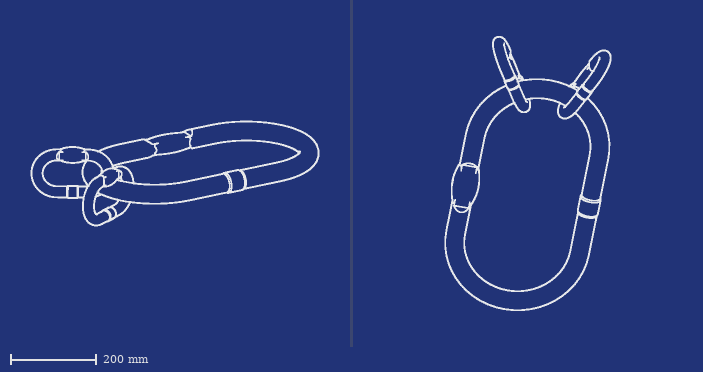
import cadquery as cq
import math


total_length = 685.0

master_wire = 45.0
master_collar = 48.5
master_inner_width = 250.0
master_inner_length = 500.0

small_wire = 27.0
small_collar = 29.0
small_inner_width = 66.0
small_inner_length = 140.5
small_outer_radius = small_wire / 2
small_half_pitch = (small_inner_length + small_wire) / 2

left_turn = -32.0
left_centre = (-92.5, -294.5)
right_turn = 25.2
right_centre_x = 80.0
master_top = master_inner_length / 2 + master_wire
right_reach = small_half_pitch * math.cos(math.radians(right_turn)) + small_outer_radius
right_centre = (right_centre_x, master_top - total_length + right_reach)

FLAT_THICKNESS = 0.63
FLAT_HALF_LENGTH = 1.17
RAMP_LENGTH = 0.23
BULGE_HEIGHT = 0.19
BULGE_HALF_LENGTH = 1.0
BULGE_FILLET = 0.16
COLLAR_CORE_LENGTH = 0.8
COLLAR_LENGTH = 1.0


def wire_loop(wire, width, straight):
    """Round wire bent to two straight legs and two half-circle ends; width is between leg centres."""
    half_width = width / 2
    half_straight = straight / 2
    path = (
        cq.Workplane("XY")
        .moveTo(half_width, -half_straight)
        .lineTo(half_width, half_straight)
        .threePointArc((0, half_straight + half_width), (-half_width, half_straight))
        .lineTo(-half_width, -half_straight)
        .threePointArc((0, -half_straight - half_width), (half_width, -half_straight))
        .close()
    )
    start = cq.Workplane("XZ", origin=(half_width, -half_straight, 0))
    return start.circle(wire / 2).sweep(path)


def weld_collar(wire, collar):
    """Raised sleeve around a leg on the Y axis, with a short cone down to the wire at each end."""
    half_core = COLLAR_CORE_LENGTH * wire / 2
    half_length = COLLAR_LENGTH * wire / 2
    return (
        cq.Workplane("XY")
        .moveTo(0, -half_length)
        .lineTo(wire / 2, -half_length)
        .lineTo(collar / 2, -half_core)
        .lineTo(collar / 2, half_core)
        .lineTo(wire / 2, half_length)
        .lineTo(0, half_length)
        .close()
        .revolve(360, (0, 0, 0), (0, 1, 0))
    )


def flat_cutter(wire):
    """Two trapezoid blocks that flatten a leg on the Y axis above and below, with ramped ends."""
    flat_z = FLAT_THICKNESS * wire / 2
    flat_y = FLAT_HALF_LENGTH * wire
    crown_z = wire / 2
    crown_y = flat_y + RAMP_LENGTH * wire
    upper = (
        cq.Workplane("YZ")
        .moveTo(-flat_y, flat_z)
        .lineTo(flat_y, flat_z)
        .lineTo(crown_y, crown_z)
        .lineTo(-crown_y, crown_z)
        .close()
        .extrude(wire / 2, both=True)
    )
    return upper.union(upper.mirror("XY"))


def flat_bulge(wire):
    """Barrel-shaped plate that swells out of both sides of the flattened leg."""
    half_width = (0.5 + BULGE_HEIGHT) * wire
    height = BULGE_HEIGHT * wire
    emerge_y = BULGE_HALF_LENGTH * wire
    side_radius = (emerge_y**2 + height**2) / (2 * height)
    end_y = FLAT_HALF_LENGTH * wire
    end_x = half_width - side_radius + math.sqrt(side_radius**2 - end_y**2)
    plate = (
        cq.Workplane("XY")
        .moveTo(end_x, -end_y)
        .threePointArc((half_width, 0), (end_x, end_y))
        .lineTo(-end_x, end_y)
        .threePointArc((-half_width, 0), (-end_x, -end_y))
        .close()
        .extrude(FLAT_THICKNESS * wire / 2, both=True)
    )
    curved_rims = plate.faces("|Z").edges("%CIRCLE")
    return curved_rims.fillet(BULGE_FILLET * wire)


def link(wire, collar, inner_width, inner_length):
    """A complete welded link."""
    width = inner_width + wire
    straight = inner_length - inner_width
    forged_leg = (-width / 2, 0, 0)
    welded_leg = (width / 2, 0, 0)
    body = (
        wire_loop(wire, width, straight)
        .cut(flat_cutter(wire).translate(forged_leg))
        .union(flat_bulge(wire).translate(forged_leg))
        .union(weld_collar(wire, collar).translate(welded_leg))
    )
    return body.solids()


def small_link(turn, centre):
    """A small link stood on edge, forged flat uppermost, turned about Z and moved into place."""
    flat_link = link(small_wire, small_collar, small_inner_width, small_inner_length)
    upright = flat_link.rotate((0, 0, 0), (0, 1, 0), 90)
    return upright.rotate((0, 0, 0), (0, 0, 1), turn).translate((*centre, 0))


master_link = link(master_wire, master_collar, master_inner_width, master_inner_length)

small_links = []
for turn, centre in ((left_turn, left_centre), (right_turn, right_centre)):
    small_links.append(small_link(turn, centre))

result = cq.Compound.makeCompound([master_link.val(), *[body.val() for body in small_links]])